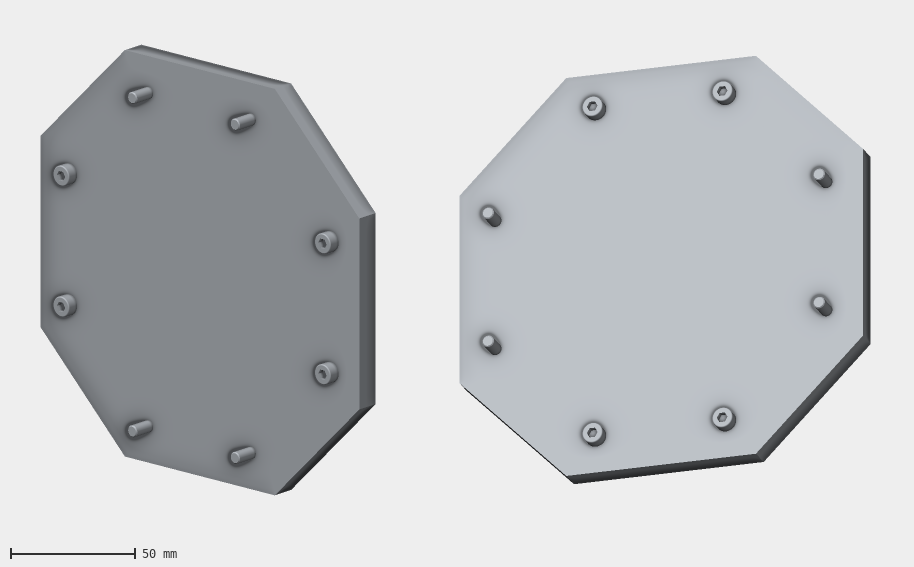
import cadquery as cq
import math

plate_width = 171.0
plate_thickness = 10.0
corner_cut = 45.3

overall_depth = 30.0
shank_diameter = 5.0
tip_chamfer = 0.43
head_diameter = 8.5
head_height = 5.0
head_edge_radius = 0.5
socket_across_flats = 4.0
socket_depth = 2.5

pair_offset = 70.1
pair_half_spacing = 27.5

face_offset = plate_thickness / 2
tip_offset = overall_depth / 2
socket_across_corners = socket_across_flats / math.cos(math.pi / 6)


def make_plate():
    """Square plate with its four corners cut off at 45 degrees."""
    return (
        cq.Workplane("XY")
        .box(plate_width, plate_thickness, plate_width)
        .edges("|Y")
        .chamfer(corner_cut)
    )


def make_screw():
    """Screw on the Y axis with its head on the -Y face and its tip towards +Y."""
    head = (
        cq.Workplane("XZ", origin=(0, -face_offset, 0))
        .circle(head_diameter / 2)
        .extrude(head_height)
        .faces("<Y")
        .edges()
        .fillet(head_edge_radius)
    )
    socket = (
        cq.Workplane("XZ", origin=(0, -face_offset - head_height, 0))
        .polygon(6, socket_across_corners)
        .extrude(-socket_depth)
    )
    shank = (
        cq.Workplane("XZ", origin=(0, -face_offset, 0))
        .circle(shank_diameter / 2)
        .extrude(-(face_offset + tip_offset))
        .faces(">Y")
        .edges()
        .chamfer(tip_chamfer)
    )
    return head.cut(socket).union(shank)


front_screw = make_screw()
back_screw = front_screw.rotate((0, 0, 0), (0, 0, 1), 180)

result = make_plate()
for side in (-1, 1):
    for end in (-1, 1):
        offset = side * pair_offset
        spacing = end * pair_half_spacing
        result = result.union(front_screw.translate((offset, 0, spacing)))
        result = result.union(back_screw.translate((spacing, 0, offset)))